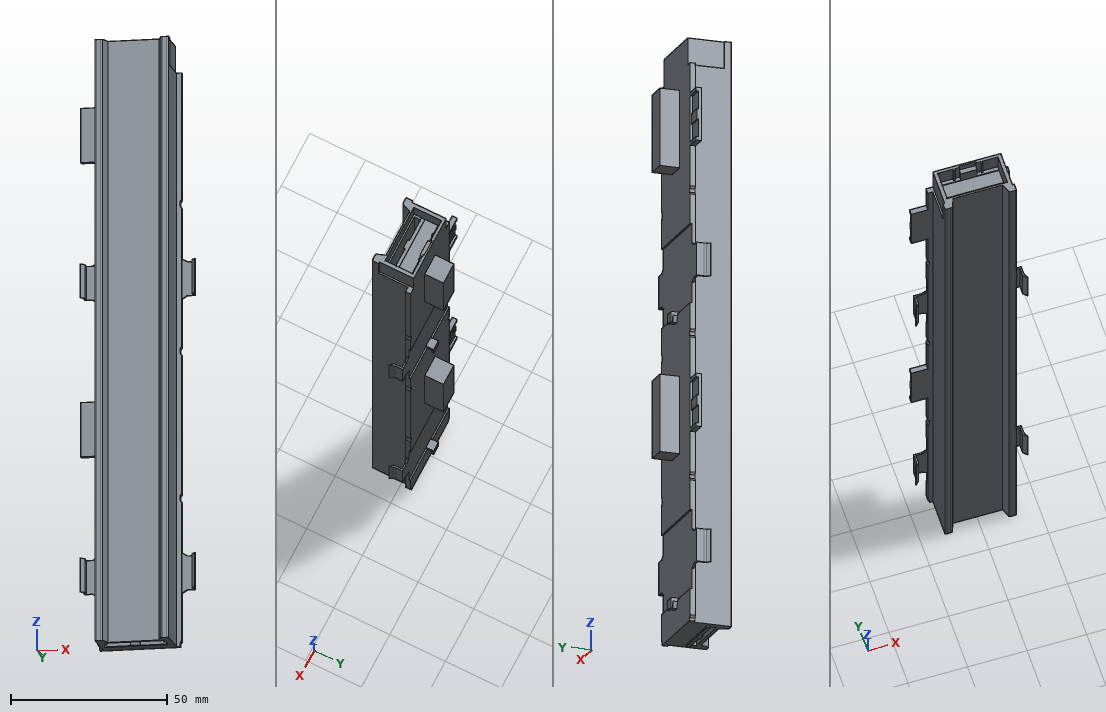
import cadquery as cq

length = 198.3
rail_bottom = 0.5
rail_half_width = 24.0 / 2
rail_back = 14.7
cavity_half_width = 10.1
gap_half_width = 9.3

leg_bevel_x = 0.5
leg_bevel_y = 0.1
leg_outer_foot = rail_half_width - leg_bevel_x
leg_inner_foot = 9.5
web_half_width = 8.3
web_front = 3.2
web_back = 3.8
web_liner_back = 4.4

pocket_floor = 192.0
pocket_back = 13.7
cheek_relief = 0.5
cheek_front = 2.4
cheek_bottom = 189.2
nub_half_width = 2.8
nub_top = 196.1
nub_back = 14.0
ledge_front = 12.5
ledge_top = 192.4
rib_offset = 4.4
rib_width = 0.5
rib_front = 13.0

board_front = 6.5
board_back = 7.7
board_step = 0.2
board_rib_width = 3.2
board_rib_front = 6.0

module_pitch = 96.8
module_origins = [0.0, module_pitch]

plate_half_width = 13.7
plate_front = 12.9
plate_thickness = rail_back - plate_front
notch_pitch = module_pitch / 2
lowest_notch = 1.0
notch_count = 4
notch_depth = 0.5
notch_outer_height = 2.8
notch_inner_height = 1.2

block_width = 7.3
block_bottom = 60.0
block_height = 26.2
block_back = 21.5

tab_tip = -19.2
tab_bottom = 64.5
tab_height = 17.8
tab_web_thickness = 1.0
tab_rib_height = 1.2
tab_middle_rib_height = 3.5
tab_middle_rib_back = 14.3

recess_bottom = 11.3
recess_top = 38.0
recess_depth = 0.5

peg_width = 3.4
peg_bottom = 8.5
peg_height = 3.4
peg_back = 16.9
peg_head_front = 16.3
peg_taper = 0.8
peg_taper_height = 2.2

clip_centre = 24.8
clip_height = 11.1
clip_root_height = 13.3
clip_flare_end = 15.5
clip_thickness = 0.5
clip_arm_back = rail_back - recess_depth
clip_drop_outer = 18.0
clip_bend_start = 11.5
clip_bend_end = 10.7
clip_bend_outer = 18.2
clip_toe_tip = 18.8
clip_toe_front = 9.5
clip_toe_thickness = 0.2


def box(x_range, y_range, z_range):
    """Axis-aligned box between the given limits."""
    x0, x1 = x_range
    y0, y1 = y_range
    z0, z1 = z_range
    return cq.Workplane("XY").box(x1 - x0, y1 - y0, z1 - z0, centered=False).translate((x0, y0, z0))


def centred_box(half_width, y_range, z_range):
    """Box that is symmetric about X = 0."""
    return box((-half_width, half_width), y_range, z_range)


def both_sides(solid):
    """The solid together with its mirror image across X = 0."""
    return solid.union(solid.mirror("YZ"))


def make_rail():
    """Rail body with its through gap, open end pocket and relieved cheeks."""
    half_outline = [
        (0, web_front),
        (web_half_width, web_front),
        (leg_inner_foot, leg_bevel_y),
        (leg_inner_foot + leg_bevel_x, 0),
        (leg_outer_foot, 0),
        (rail_half_width, leg_bevel_y),
        (rail_half_width, rail_back),
        (0, rail_back),
    ]
    profile = cq.Workplane("XY").polyline(half_outline).close()
    rail = both_sides(profile.extrude(length - rail_bottom).translate((0, 0, rail_bottom)))
    gap = centred_box(gap_half_width, (web_liner_back, board_front), (0, length))
    pocket = centred_box(cavity_half_width, (web_back, pocket_back), (pocket_floor, length))
    cheek_x_range = (rail_half_width - cheek_relief, rail_half_width)
    cheek = box(cheek_x_range, (cheek_front, rail_back), (cheek_bottom, length))
    return rail.cut(gap).cut(pocket).cut(both_sides(cheek))


def make_pocket_details():
    """Ledge, nub and two thin ribs along the back wall of the end pocket."""
    ledge = centred_box(cavity_half_width, (ledge_front, pocket_back), (pocket_floor, ledge_top))
    nub = centred_box(nub_half_width, (ledge_front, pocket_back), (pocket_floor, nub_top))
    rib = box((rib_offset, rib_offset + rib_width), (rib_front, pocket_back), (pocket_floor, length))
    return ledge.union(nub).union(both_sides(rib))


def make_nub_notch():
    """Shallow notch in the back wall above the nub."""
    return centred_box(nub_half_width, (ledge_front, nub_back), (nub_top, length))


def make_board():
    """Lower end of the inner board, standing out below the rail, and the rib along its front."""
    end = centred_box(cavity_half_width, (board_front, board_back), (0, rail_bottom))
    rib = centred_box(
        board_rib_width / 2, (board_rib_front, board_front), (0, pocket_floor - board_step)
    )
    return end.union(rib)


def make_board_step():
    """Cut that sets the top of the board just below the pocket floor."""
    return centred_box(
        cavity_half_width, (board_front, board_back), (pocket_floor - board_step, pocket_floor)
    )


def make_notch(centre_z):
    """Tapered notch in the edge of the back plate."""
    outer = notch_outer_height / 2
    inner = notch_inner_height / 2
    bottom_x = plate_half_width - notch_depth
    notch = (
        cq.Workplane("XZ", origin=(0, rail_back, centre_z))
        .polyline([
            (plate_half_width, -outer),
            (bottom_x, -inner),
            (bottom_x, inner),
            (plate_half_width, outer),
        ])
        .close()
        .extrude(plate_thickness)
    )
    return both_sides(notch)


def make_plate():
    """Back plate with a notch in both edges at every half module."""
    plate = centred_box(plate_half_width, (plate_front, rail_back), (rail_bottom, cheek_bottom))
    for index in range(notch_count):
        plate = plate.cut(make_notch(lowest_notch + index * notch_pitch))
    return plate


def make_recess():
    """Shallow step across the back of the plate where a clip strap lies."""
    return centred_box(
        plate_half_width, (rail_back - recess_depth, rail_back), (recess_bottom, recess_top)
    )


def make_block():
    """Plain block standing out behind the plate."""
    z_range = (block_bottom, block_bottom + block_height)
    return centred_box(block_width / 2, (plate_front, block_back), z_range)


def make_tab():
    """Side tab: a thin web with three cross ribs on its back."""
    x_range = (tab_tip, -plate_half_width)
    tab_top = tab_bottom + tab_height
    tab_middle = tab_bottom + tab_height / 2
    half_rib = tab_middle_rib_height / 2
    tab = box(x_range, (plate_front, plate_front + tab_web_thickness), (tab_bottom, tab_top))
    for rib_bottom in (tab_bottom, tab_top - tab_rib_height):
        rib = box(x_range, (plate_front, rail_back), (rib_bottom, rib_bottom + tab_rib_height))
        tab = tab.union(rib)
    middle_range = (tab_middle - half_rib, tab_middle + half_rib)
    return tab.union(box(x_range, (plate_front, tab_middle_rib_back), middle_range))


def make_peg():
    """Peg behind the plate: a square head on a stem whose lower side corners are cut away."""
    half = peg_width / 2
    head = centred_box(half, (peg_head_front, peg_back), (peg_bottom, peg_bottom + peg_height))
    stem = (
        cq.Workplane("XZ", origin=(0, peg_head_front, peg_bottom))
        .polyline([
            (-half + peg_taper, 0),
            (half - peg_taper, 0),
            (half, peg_taper_height),
            (half, peg_height),
            (-half, peg_height),
            (-half, peg_taper_height),
        ])
        .close()
        .extrude(peg_head_front - plate_front)
    )
    return head.union(stem)


def make_clip():
    """Pair of bent sheet hooks, flared where they leave the plate."""
    arm_front = clip_arm_back - clip_thickness
    drop_inner = clip_drop_outer - clip_thickness
    hook = (
        cq.Workplane("XY", origin=(0, 0, clip_centre))
        .polyline([
            (plate_half_width, clip_arm_back),
            (clip_drop_outer, clip_arm_back),
            (clip_drop_outer, clip_bend_start),
            (clip_bend_outer, clip_bend_end),
            (clip_toe_tip, clip_toe_front),
            (clip_toe_tip - clip_toe_thickness, clip_toe_front),
            (drop_inner, clip_bend_end),
            (drop_inner, arm_front),
            (plate_half_width, arm_front),
        ])
        .close()
        .extrude(clip_height / 2, both=True)
    )
    flare = (
        cq.Workplane("XZ", origin=(0, clip_arm_back, clip_centre))
        .polyline([
            (plate_half_width, -clip_root_height / 2),
            (clip_flare_end, -clip_height / 2),
            (clip_flare_end, clip_height / 2),
            (plate_half_width, clip_root_height / 2),
        ])
        .close()
        .extrude(clip_thickness)
    )
    return both_sides(hook.union(flare))


result = make_rail().union(make_plate()).union(make_board()).union(make_pocket_details())
result = result.cut(make_board_step()).cut(make_nub_notch())
for origin_z in module_origins:
    shift = (0, 0, origin_z)
    result = result.cut(make_recess().translate(shift))
    for feature in (make_block(), make_tab(), make_peg(), make_clip()):
        result = result.union(feature.translate(shift))